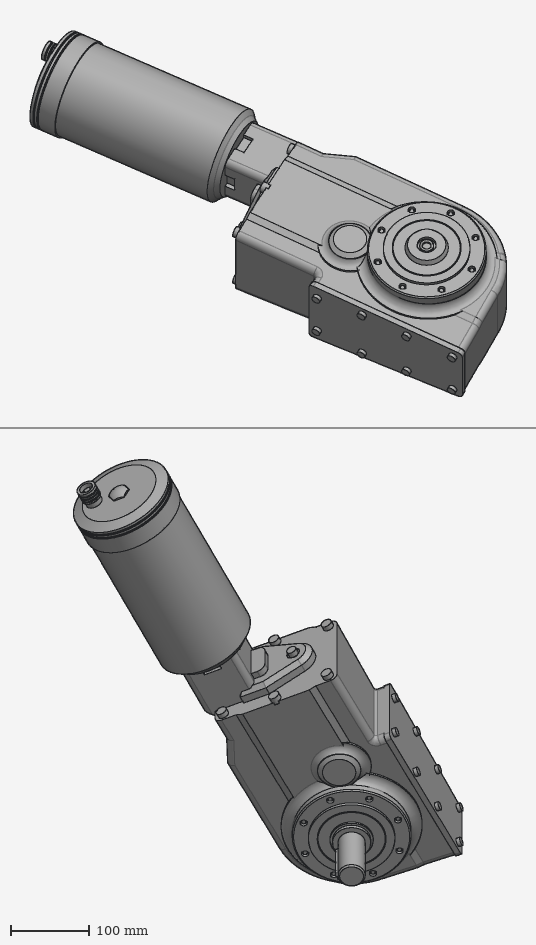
import cadquery as cq
import math


MOTOR_Y = 61.0
BODY_RADIUS = 64.5
CAP_RADIUS = 66.5
CAP_FACE_RADIUS = 52.0
CAP_REAR_X = -575.5
CAP_RIM_X = -571.0
CAP_FRONT_X = -534.5
CAP_GROOVE_XS = (-566.5, -561.0)
CAP_GROOVE_WIDTH = 1.8
CAP_GROOVE_DEPTH = 1.05
BODY_FRONT_X = -315.5
NOSE_STEP_X = -310.0
NOSE_STEP_RADIUS = 57.5
NOSE_X = -303.5
NOSE_RADIUS = 52.5

PLUG_FLATS = 25.0
PLUG_TIP_X = -582.0
PLUG_DOME_RADIUS = 21.0
CONNECTOR_Y = 96.0
CONNECTOR_REAR_X = -601.0
CONNECTOR_HEAD_LENGTH = 17.0
CONNECTOR_DIAMETER = 25.5
CONNECTOR_NECK_DIAMETER = 22.0
CONNECTOR_BORE = 18.0
CONNECTOR_PIN = 8.5
CONNECTOR_DEPTH = 7.0
CONNECTOR_GROOVES = 3
CONNECTOR_GROOVE_WIDTH = 1.5

NECK_SIDE = 76.5
NECK_EDGE_RADIUS = 8.5
NECK_END_X = -221.0
NECK_BEVEL = 14.0
NOTCH_WIDTH = 24.0
NOTCH_DEPTH = 6.0
NOTCH_END_X = -290.0

FACE_X = -230.5
SIDE_Y = 86.0
BACK_Y = 102.0
RAMP_START_X = -195.0
RAMP_END_X = -157.0
END_X = 108.0
FOOT_X = -114.0
FOOT_Y = -105.5
FOOT_THICKNESS = 8.0
FOOT_TOP_Y = FOOT_Y + FOOT_THICKNESS
FOOT_LIP = 1.0
FOOT_START_Z = 56.0
FOOT_END_Z = 47.5
FOOT_CORNER_RADIUS = 6.5
INNER_CORNER_RADIUS = 3.5
HOUSING_EDGE_RADIUS = 9.0
CREST_HALF_WIDTH = 47.0
SHOULDER_Y = 56.0
SECTION_REACH = 142.0
FACE_CREST_Z = 64.5
FACE_SHOULDER_Z = 61.0
END_CREST_Z = 49.0
END_SHOULDER_Z = 47.0

BOSS_RADIUS = 76.0
BOSS_FOOT_RADIUS = 90.0
BOSS_FOOT_HEIGHT = 11.0
FOOT_SINK = 14.0
BOSS_Z = 76.5
BOSS_EDGE = 1.8
COVER_RADIUS = 55.0
COVER_Z = 81.0
COVER_GROOVE_RADIUS = 44.0
COVER_GROOVE_WIDTH = 1.05
COVER_GROOVE_DEPTH = 1.0
HUB_DIAMETER = 55.0
HUB_TIP_DIAMETER = 49.0
HUB_Z = 87.0
HUB_BORE = 24.0
HUB_BORE_DEPTH = 4.0
HUB_SCREW = 18.0
HUB_SCREW_SOCKET = 11.0
HUB_SCREW_DROP = 1.5
BOSS_HOLES = 8
BOSS_HOLE_RADIUS = 65.0
BOSS_HOLE = 9.0
BOSS_HOLE_DEPTH = 4.0
BOSS_SCREW = 6.0
SMALL_BOSS_X = -96.5
SMALL_BOSS_Y = -27.0
SMALL_BOSS_TOP_RADIUS = 21.0
SMALL_BOSS_RADIUS = 28.0
SMALL_BOSS_FOOT_RADIUS = 41.0
SMALL_BOSS_FOOT_HEIGHT = 6.5
SMALL_BOSS_WALL_Z = 65.0
SMALL_BOSS_Z = 69.5
RING_Z = -84.0
COLLAR_Z = -88.5
SHAFT_DIAMETER = 35.0
SHAFT_END_Z = -158.0
SHAFT_CHAMFER = 2.0
KEY_WIDTH = 10.0
KEY_RISE = 3.0
KEY_END_FLAT = 1.0
KEY_TOP_Z = -94.0
KEY_BOTTOM_Z = -151.0

PLATE_X = -247.5
PLATE_TIP_Y = -32.0
PLATE_TIP_RADIUS = 24.0
PLATE_HALF_WIDTH = 42.5
PLATE_END_Y = 45.5
PLATE_SLOPE = 22
PLATE_EDGE = 6.5
PAD_X = -256.5
PAD_LOW_Y = 3.5
PAD_HALF_WIDTH = 24.0
PAD_CORNER = 10.5

PLATE_SCREW = 13.0
PLATE_SCREW_RISE = 6.0
PLATE_SCREW_RECESS = 18.0
PLATE_RECESS_DEPTH = 2.0
FACE_SCREW = 14.0
FACE_SCREW_RISE = 7.0
FACE_SCREW_PLACES = ((74.0, 51.0), (0.0, 58.0), (-74.0, 51.0))
FOOT_SCREW = 11.0
FOOT_SCREW_RISE = 5.0
FOOT_SCREW_PLACES = ((-101.5, 35.5), (-36.0, 42.0), (28.5, 38.0), (94.0, 35.5))
OVERLAP = 3.5


def x_cylinder(start_x, end_x, diameter, y, z=0.0):
    """Cylinder along X from start_x to end_x."""
    plane = cq.Workplane("YZ", origin=(start_x, y, z))
    return plane.circle(diameter / 2).extrude(end_x - start_x)


def z_cylinder(low_z, high_z, radius, x=0.0, y=0.0):
    """Cylinder along Z from low_z to high_z."""
    plane = cq.Workplane("XY", origin=(x, y, low_z))
    return plane.circle(radius).extrude(high_z - low_z)


def both_sides(shape):
    """The shape joined with its mirror image below Z = 0."""
    return shape.union(shape.mirror("XY"))


def make_motor():
    motor = (
        cq.Workplane("XY")
        .moveTo(CAP_REAR_X, 0)
        .lineTo(CAP_REAR_X, CAP_FACE_RADIUS)
        .lineTo(CAP_RIM_X, CAP_RADIUS)
        .lineTo(CAP_FRONT_X, CAP_RADIUS)
        .lineTo(CAP_FRONT_X, BODY_RADIUS)
        .lineTo(BODY_FRONT_X, BODY_RADIUS)
        .lineTo(NOSE_STEP_X, NOSE_STEP_RADIUS)
        .lineTo(NOSE_X, NOSE_RADIUS)
        .lineTo(NOSE_X, 0)
        .close()
        .revolve(360, (0, 0, 0), (1, 0, 0))
        .translate((0, MOTOR_Y, 0))
    )
    for x in CAP_GROOVE_XS:
        groove = x_cylinder(x, x + CAP_GROOVE_WIDTH, 2 * CAP_RADIUS + OVERLAP, MOTOR_Y)
        core = x_cylinder(x, x + CAP_GROOVE_WIDTH, 2 * (CAP_RADIUS - CAP_GROOVE_DEPTH), MOTOR_Y)
        motor = motor.cut(groove.cut(core))
    return motor


def make_plug():
    corners_diameter = PLUG_FLATS / math.cos(math.pi / 6)
    hexagon = (
        cq.Workplane("YZ", origin=(PLUG_TIP_X, MOTOR_Y, 0))
        .polygon(6, corners_diameter)
        .extrude(CAP_REAR_X + OVERLAP - PLUG_TIP_X)
    )
    dome = cq.Workplane("XY").sphere(PLUG_DOME_RADIUS)
    return hexagon.intersect(dome.translate((PLUG_TIP_X + PLUG_DOME_RADIUS, MOTOR_Y, 0)))


def make_connector():
    head_end_x = CONNECTOR_REAR_X + CONNECTOR_HEAD_LENGTH
    head = x_cylinder(CONNECTOR_REAR_X, head_end_x, CONNECTOR_DIAMETER, CONNECTOR_Y)
    pitch = CONNECTOR_HEAD_LENGTH / (CONNECTOR_GROOVES + 1)
    for i in range(CONNECTOR_GROOVES):
        x = CONNECTOR_REAR_X + (i + 1) * pitch
        groove = x_cylinder(x, x + CONNECTOR_GROOVE_WIDTH, CONNECTOR_DIAMETER + OVERLAP, CONNECTOR_Y)
        core = x_cylinder(x, x + CONNECTOR_GROOVE_WIDTH, CONNECTOR_NECK_DIAMETER, CONNECTOR_Y)
        head = head.cut(groove.cut(core))
    neck = x_cylinder(head_end_x, CAP_REAR_X + OVERLAP, CONNECTOR_NECK_DIAMETER, CONNECTOR_Y)
    bore_end_x = CONNECTOR_REAR_X + CONNECTOR_DEPTH
    bore = x_cylinder(CONNECTOR_REAR_X, bore_end_x, CONNECTOR_BORE, CONNECTOR_Y)
    pin = x_cylinder(CONNECTOR_REAR_X + CONNECTOR_DEPTH / 2, bore_end_x, CONNECTOR_PIN, CONNECTOR_Y)
    return head.union(neck).cut(bore.cut(pin))


def make_neck():
    half = NECK_SIDE / 2
    neck = (
        cq.Workplane("YZ", origin=(NOSE_X - OVERLAP, MOTOR_Y, 0))
        .rect(NECK_SIDE, NECK_SIDE)
        .extrude(NECK_END_X - NOSE_X + OVERLAP)
        .edges("|X").fillet(NECK_EDGE_RADIUS)
    )
    back_y = MOTOR_Y + half
    bevel = (
        cq.Workplane("XY", origin=(0, 0, -half))
        .moveTo(NECK_END_X, back_y - NECK_BEVEL)
        .lineTo(NECK_END_X, back_y)
        .lineTo(NECK_END_X - NECK_BEVEL, back_y)
        .close()
        .extrude(NECK_SIDE)
    )
    neck = neck.cut(bevel)
    notch_length = NOTCH_END_X - NOSE_X
    notch = cq.Workplane("XY").box(
        notch_length, NOTCH_WIDTH, 2 * NOTCH_DEPTH, centered=(False, True, True))
    for i in range(4):
        placed = notch.translate((NOSE_X, 0, half)).rotate((0, 0, 0), (1, 0, 0), 90 * i)
        neck = neck.cut(placed.translate((0, MOTOR_Y, 0)))
    return neck


def section_points(crest_z, shoulder_z):
    """Housing cross-section as (y, z) points: a flat crest between lower shoulders."""
    upper = [
        (-SECTION_REACH, shoulder_z),
        (-SHOULDER_Y, shoulder_z),
        (-CREST_HALF_WIDTH, crest_z),
        (CREST_HALF_WIDTH, crest_z),
        (SHOULDER_Y, shoulder_z),
        (SECTION_REACH, shoulder_z),
    ]
    return upper + [(y, -z) for y, z in reversed(upper)]


def make_taper():
    """Solid whose height falls from the motor end to the far end."""
    return (
        cq.Workplane("YZ", origin=(FACE_X, 0, 0))
        .polyline(section_points(FACE_CREST_Z, FACE_SHOULDER_Z)).close()
        .workplane(offset=END_X - FACE_X)
        .polyline(section_points(END_CREST_Z, END_SHOULDER_Z)).close()
        .loft(ruled=True, combine=True)
    )


def make_housing():
    middle = BACK_Y * math.sqrt(0.5)
    taper = make_taper()
    outline = (
        cq.Workplane("XY", origin=(0, 0, -SECTION_REACH))
        .moveTo(FACE_X, -SIDE_Y)
        .lineTo(FACE_X, SIDE_Y)
        .lineTo(RAMP_START_X, SIDE_Y)
        .lineTo(RAMP_END_X, BACK_Y)
        .lineTo(0, BACK_Y)
        .threePointArc((middle, middle), (BACK_Y, 0))
        .lineTo(END_X - FOOT_LIP, FOOT_TOP_Y)
        .lineTo(FOOT_X, FOOT_TOP_Y)
        .lineTo(FOOT_X, -SIDE_Y)
        .close()
        .extrude(2 * SECTION_REACH)
        .edges(cq.selectors.NearestToPointSelector((FOOT_X, -SIDE_Y, 0)))
        .fillet(INNER_CORNER_RADIUS)
    )
    body = outline.intersect(taper)
    box = cq.selectors.BoxSelector
    start_x = FACE_X + OVERLAP
    foot_y = FOOT_TOP_Y + OVERLAP
    rim_y = SHOULDER_Y + HOUSING_EDGE_RADIUS
    reach = SECTION_REACH
    low_side = box((start_x, foot_y, -reach), (END_X, -rim_y, reach))
    back_side = box((start_x, rim_y, -reach), (END_X, reach, reach))
    far_end = box((BOSS_RADIUS, foot_y, -reach), (END_X, rim_y, reach))
    rims = (low_side + back_side + far_end) - cq.selectors.ParallelDirSelector(cq.Vector(0, 0, 1))
    body = body.edges(rims).fillet(HOUSING_EDGE_RADIUS)
    foot = (
        cq.Workplane("XZ", origin=(0, FOOT_TOP_Y, 0))
        .moveTo(FOOT_X, -FOOT_START_Z)
        .lineTo(FOOT_X, FOOT_START_Z)
        .lineTo(END_X, FOOT_END_Z)
        .lineTo(END_X, -FOOT_END_Z)
        .close()
        .extrude(FOOT_THICKNESS)
        .edges("|Y").fillet(FOOT_CORNER_RADIUS)
    )
    return body.union(foot)


def make_boss_foot(x, y, foot_radius, boss_radius, height):
    """Concave foot that blends a boss at (x, y) into the sloping top of the housing."""
    fall = (FACE_CREST_Z - END_CREST_Z) / (END_X - FACE_X)
    top_z = FACE_CREST_Z - fall * (x - FACE_X)
    bend = math.sqrt(0.5)
    middle = (foot_radius - (foot_radius - boss_radius) * bend, height * (1 - bend))
    return (
        cq.Workplane("XZ")
        .moveTo(0, -FOOT_SINK)
        .lineTo(foot_radius, -FOOT_SINK)
        .lineTo(foot_radius, 0)
        .threePointArc(middle, (boss_radius, height))
        .lineTo(0, height)
        .close()
        .revolve(360, (0, 0, 0), (0, 1, 0))
        .rotate((0, 0, 0), (0, 1, 0), math.degrees(math.atan(fall)))
        .translate((x, y, top_z))
    )


def make_boss():
    """Upper bearing boss with its cover and ring of screws."""
    boss = (
        cq.Workplane("XZ")
        .lineTo(BOSS_RADIUS, 0)
        .lineTo(BOSS_RADIUS, BOSS_Z - BOSS_EDGE)
        .lineTo(BOSS_RADIUS - BOSS_EDGE, BOSS_Z)
        .lineTo(COVER_RADIUS, BOSS_Z)
        .lineTo(COVER_RADIUS, COVER_Z)
        .lineTo(0, COVER_Z)
        .close()
        .revolve(360, (0, 0, 0), (0, 1, 0))
    )
    groove_floor = COVER_Z - COVER_GROOVE_DEPTH
    groove = z_cylinder(groove_floor, COVER_Z, COVER_GROOVE_RADIUS)
    core = z_cylinder(groove_floor, COVER_Z, COVER_GROOVE_RADIUS - COVER_GROOVE_WIDTH)
    boss = boss.cut(groove.cut(core))
    hole_floor = BOSS_Z - BOSS_HOLE_DEPTH
    for i in range(BOSS_HOLES):
        angle = 2 * math.pi * i / BOSS_HOLES
        x = BOSS_HOLE_RADIUS * math.cos(angle)
        y = BOSS_HOLE_RADIUS * math.sin(angle)
        hole = z_cylinder(hole_floor, BOSS_Z, BOSS_HOLE / 2, x, y)
        screw = z_cylinder(hole_floor, BOSS_Z - BOSS_HOLE_DEPTH / 2, BOSS_SCREW / 2, x, y)
        boss = boss.cut(hole.cut(screw))
    return boss.union(make_boss_foot(0, 0, BOSS_FOOT_RADIUS, BOSS_RADIUS, BOSS_FOOT_HEIGHT))


def make_small_boss():
    """Round boss with a sloping rim, beside the bearing boss."""
    boss = (
        cq.Workplane("XZ")
        .lineTo(SMALL_BOSS_RADIUS, 0)
        .lineTo(SMALL_BOSS_RADIUS, SMALL_BOSS_WALL_Z)
        .lineTo(SMALL_BOSS_TOP_RADIUS, SMALL_BOSS_Z)
        .lineTo(0, SMALL_BOSS_Z)
        .close()
        .revolve(360, (0, 0, 0), (0, 1, 0))
        .translate((SMALL_BOSS_X, SMALL_BOSS_Y, 0))
    )
    return boss.union(make_boss_foot(
        SMALL_BOSS_X, SMALL_BOSS_Y, SMALL_BOSS_FOOT_RADIUS, SMALL_BOSS_RADIUS, SMALL_BOSS_FOOT_HEIGHT))


def make_hub():
    """Tapered hub on the upper cover, with a sunk socket screw in its bore."""
    cone = cq.Solid.makeCone(
        HUB_DIAMETER / 2, HUB_TIP_DIAMETER / 2, HUB_Z - COVER_Z, cq.Vector(0, 0, COVER_Z))
    floor_z = HUB_Z - HUB_BORE_DEPTH
    bore = z_cylinder(floor_z, HUB_Z, HUB_BORE / 2)
    screw = z_cylinder(floor_z, HUB_Z - HUB_SCREW_DROP, HUB_SCREW / 2)
    socket = z_cylinder(floor_z, HUB_Z, HUB_SCREW_SOCKET / 2)
    return cq.Workplane("XY").add(cone).cut(bore.cut(screw.cut(socket)))


def make_shaft():
    ring = z_cylinder(RING_Z, -COVER_Z, HUB_DIAMETER / 2)
    collar = z_cylinder(COLLAR_Z, RING_Z, HUB_TIP_DIAMETER / 2)
    shaft = z_cylinder(SHAFT_END_Z, -COVER_Z, SHAFT_DIAMETER / 2)
    shaft = shaft.faces("<Z").chamfer(SHAFT_CHAMFER)
    key_y = SHAFT_DIAMETER / 2 + KEY_RISE
    key = (
        cq.Workplane("XY")
        .box(KEY_WIDTH, key_y, KEY_TOP_Z - KEY_BOTTOM_Z, centered=(True, False, False))
        .edges("|Y").fillet(KEY_WIDTH / 2 - KEY_END_FLAT)
        .translate((0, 0, KEY_BOTTOM_Z))
    )
    return shaft.union(ring).union(collar).union(key)


def make_adapter_plate():
    """Plate with a round tip and sloping sides, a pad and a sunk screw."""
    leave_y = PLATE_TIP_Y - PLATE_TIP_RADIUS * math.sin(math.radians(PLATE_SLOPE))
    leave_z = PLATE_TIP_RADIUS * math.cos(math.radians(PLATE_SLOPE))
    shoulder_y = leave_y + (PLATE_HALF_WIDTH - leave_z) / math.tan(math.radians(PLATE_SLOPE))
    plate = (
        cq.Workplane("YZ", origin=(PLATE_X, 0, 0))
        .moveTo(PLATE_END_Y, -PLATE_HALF_WIDTH)
        .lineTo(shoulder_y, -PLATE_HALF_WIDTH)
        .lineTo(leave_y, -leave_z)
        .threePointArc((PLATE_TIP_Y - PLATE_TIP_RADIUS, 0), (leave_y, leave_z))
        .lineTo(shoulder_y, PLATE_HALF_WIDTH)
        .lineTo(PLATE_END_Y, PLATE_HALF_WIDTH)
        .close()
        .extrude(FACE_X + OVERLAP - PLATE_X)
        .faces("<X").edges().chamfer(PLATE_EDGE)
    )
    pad = (
        cq.Workplane("YZ", origin=(PAD_X, 0, 0))
        .moveTo((PAD_LOW_Y + PLATE_END_Y) / 2, 0)
        .rect(PLATE_END_Y - PAD_LOW_Y, 2 * PAD_HALF_WIDTH)
        .extrude(PLATE_X + OVERLAP - PAD_X)
        .faces("<Y").edges("|X").fillet(PAD_CORNER)
    )
    recess = x_cylinder(PLATE_X, PLATE_X + PLATE_RECESS_DEPTH, PLATE_SCREW_RECESS, PLATE_TIP_Y)
    screw = x_cylinder(
        PLATE_X - PLATE_SCREW_RISE, PLATE_X + OVERLAP, PLATE_SCREW, PLATE_TIP_Y)
    return plate.union(pad).cut(recess).union(screw)


def make_screws():
    screws = cq.Workplane("XY")
    for y, z in FACE_SCREW_PLACES:
        for side in (1, -1):
            screws = screws.union(x_cylinder(
                FACE_X - FACE_SCREW_RISE, FACE_X + OVERLAP, FACE_SCREW, y, side * z))
    for x, z in FOOT_SCREW_PLACES:
        for side in (1, -1):
            screw = (
                cq.Workplane("XZ", origin=(x, FOOT_Y + OVERLAP, side * z))
                .circle(FOOT_SCREW / 2)
                .extrude(FOOT_SCREW_RISE + OVERLAP)
            )
            screws = screws.union(screw)
    return screws


result = (
    make_housing()
    .union(both_sides(make_boss()))
    .union(both_sides(make_small_boss()))
    .union(make_hub())
    .union(make_shaft())
    .union(make_adapter_plate())
    .union(make_neck())
    .union(make_motor())
    .union(make_plug())
    .union(make_connector())
    .union(make_screws())
)